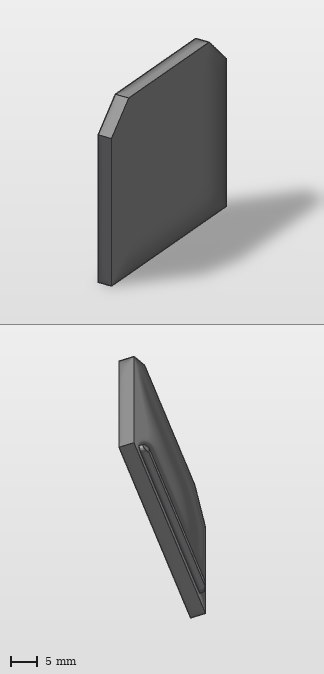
import cadquery as cq

plate_width = 40.0
plate_height = 37.0
plate_thickness = 3.0
corner_cut = 6.0

rib_height = 1.5
rib_width = 1.95
rib_length = 34.25
rib_center_z = 3.15
rib_draft_angle = 5.0
rib_crest_length = 31.3
end_slope_run = (rib_length - rib_crest_length) / 2
end_slope_drop = 0.75


def make_plate():
    """Upright plate with its -X face on the YZ plane and its base at Z = 0."""
    return (
        cq.Workplane("XY")
        .box(plate_thickness, plate_width, plate_height, centered=(False, True, False))
        .edges("|X and >Z")
        .chamfer(corner_cut)
    )


def make_rib():
    """Drafted bar rising toward -X, trimmed by a profile that slopes at both ends."""
    bar = (
        cq.Workplane("YZ")
        .center(0, rib_center_z)
        .slot2D(rib_length, rib_width)
        .extrude(-rib_height, taper=rib_draft_angle)
    )
    half_length = rib_length / 2
    half_crest = half_length - end_slope_run
    shoulder_height = rib_height - end_slope_drop
    envelope = (
        cq.Workplane("XY", origin=(0, 0, rib_center_z))
        .polyline([
            (0, -half_length),
            (-shoulder_height, -half_length),
            (-rib_height, -half_crest),
            (-rib_height, half_crest),
            (-shoulder_height, half_length),
            (0, half_length),
        ])
        .close()
        .extrude(rib_width, both=True)
    )
    return bar.intersect(envelope)


result = make_plate().union(make_rib())